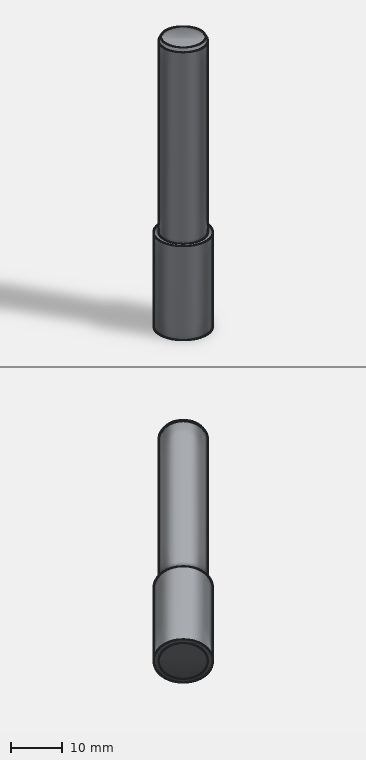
import cadquery as cq

total_length = 63.5
pin_diameter = 9.5
pin_chamfer_height = 0.8
pin_chamfer_width = 0.45
sleeve_diameter = 11.5
sleeve_length = 20.65


def make_pin():
    """Round pin along Z with a chamfered top edge."""
    pin = cq.Workplane("XY").circle(pin_diameter / 2).extrude(total_length)
    return pin.faces(">Z").chamfer(pin_chamfer_height, pin_chamfer_width)


def make_sleeve():
    """Plain sleeve around the lower end of the pin, flush with its bottom face."""
    return (
        cq.Workplane("XY")
        .circle(sleeve_diameter / 2)
        .circle(pin_diameter / 2)
        .extrude(sleeve_length)
    )


pin = make_pin()
sleeve = make_sleeve()

result = cq.Compound.makeCompound([pin.val(), sleeve.val()])